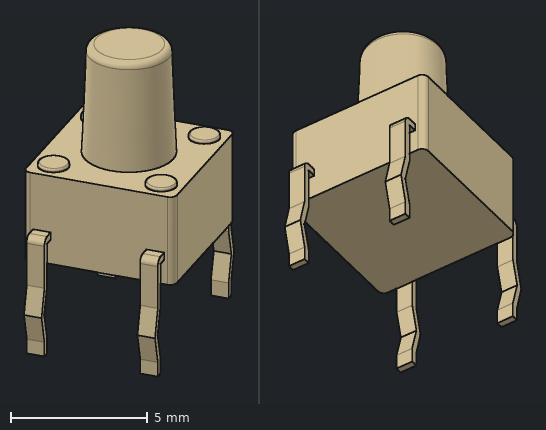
import cadquery as cq

body_side = 5.99
body_bottom = 3.5
body_height = 3.6
body_corner_radius = 0.28
body_top = body_bottom + body_height

plunger_top = 11.51
plunger_base_radius = 1.75
plunger_rim_radius = 1.59
plunger_flat_radius = 1.3
plunger_rim_drop = 0.28
rim_bulge_radius = 0.3

rivet_offset = 2.13
rivet_radius = 0.59
rivet_rim_radius = 0.53
rivet_wall_height = 0.05
rivet_rim_height = 0.15
rivet_rim_bulge_radius = 0.1
rivet_height = 0.28

leg_offset_x = 2.25
leg_width = 0.7
leg_thickness = 0.28
leg_top = 4.8
leg_shoulder_thickness = 0.3
leg_bend_radius = 0.28
leg_outer_y = 3.63
leg_knee_y = 3.9
leg_knee_z = 1.7
leg_kink_rise = 1.1
leg_kink_inset = 0.06


def make_body():
    block = cq.Workplane("XY").workplane(offset=body_bottom).rect(body_side, body_side).extrude(body_height)
    return block.edges("|Z").fillet(body_corner_radius)


def make_plunger():
    rim_z = plunger_top - plunger_rim_drop
    profile = (
        cq.Workplane("XZ")
        .moveTo(0, body_top)
        .lineTo(plunger_base_radius, body_top)
        .lineTo(plunger_rim_radius, rim_z)
        .radiusArc((plunger_flat_radius, plunger_top), -rim_bulge_radius)
        .lineTo(0, plunger_top)
        .close()
    )
    return profile.revolve(360, (0, 0), (0, 1))


def make_rivet_head(x, y):
    dome_rise = rivet_height - rivet_rim_height
    dome_radius = (rivet_rim_radius**2 + dome_rise**2) / (2 * dome_rise)
    profile = (
        cq.Workplane("XZ")
        .lineTo(rivet_radius, 0)
        .lineTo(rivet_radius, rivet_wall_height)
        .radiusArc((rivet_rim_radius, rivet_rim_height), -rivet_rim_bulge_radius)
        .radiusArc((0, rivet_height), -dome_radius)
        .close()
    )
    return profile.revolve(360, (0, 0), (0, 1)).translate((x, y, body_top))


def make_leg(x, side):
    """Bent leg centred on x; side is +1 or -1 for the Y face it leaves."""
    inner_y = leg_outer_y - leg_thickness
    inner_rise = leg_kink_rise - leg_kink_inset
    wall_y = body_side / 2
    strip = (
        cq.Workplane("YZ")
        .moveTo(wall_y, leg_top)
        .lineTo(leg_outer_y - leg_bend_radius, leg_top)
        .radiusArc((leg_outer_y, leg_top - leg_bend_radius), leg_bend_radius)
        .lineTo(leg_outer_y, leg_knee_z + leg_kink_rise)
        .lineTo(leg_knee_y, leg_knee_z)
        .lineTo(leg_outer_y, leg_knee_z - leg_kink_rise)
        .lineTo(leg_outer_y, 0)
        .lineTo(inner_y, 0)
        .lineTo(inner_y, leg_knee_z - inner_rise)
        .lineTo(leg_knee_y - leg_thickness, leg_knee_z)
        .lineTo(inner_y, leg_knee_z + inner_rise)
        .lineTo(inner_y, leg_top - leg_shoulder_thickness)
        .lineTo(wall_y, leg_top - leg_shoulder_thickness)
        .close()
        .extrude(leg_width / 2, both=True)
    )
    if side < 0:
        strip = strip.mirror("XZ")
    return strip.translate((x, 0, 0))


result = make_body().union(make_plunger())
for x_side in (-1, 1):
    for y_side in (-1, 1):
        result = result.union(make_rivet_head(x_side * rivet_offset, y_side * rivet_offset))
        result = result.union(make_leg(x_side * leg_offset_x, y_side))